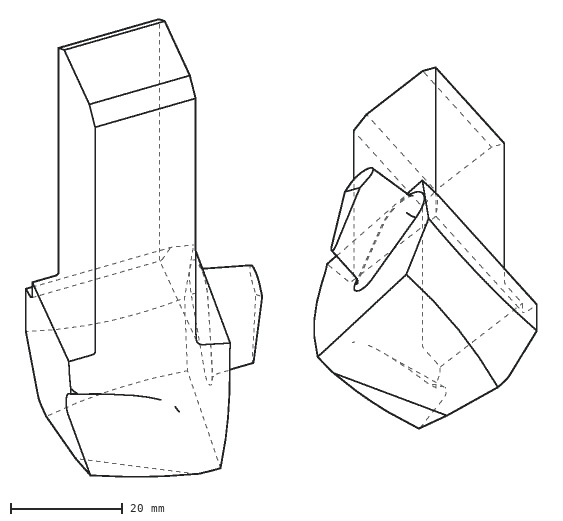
import cadquery as cq
import math

REACH = 83.1

SHANK_SIDE = 19.1
SHANK_HALF = SHANK_SIDE / 2
TOTAL_HEIGHT = 103.9
SHANK_CHAMFER = 3.0
SHANK_ROOT_Z = 20.8

HEAD_LEFT = -13.0
HEAD_RIGHT = 15.9
HEAD_FRONT = -14.5
LEDGE_Z = 35.0
LEDGE_FILLET = 0.6
SHOULDER_Z = 29.9
SHOULDER_ANGLE = 15.0
SHOULDER_FILLET = 1.7

FLANK_CONCAVE_MID = (10.2, 29.7)
FLANK_JOINT = (12.4, 23.5)
FLANK_CONVEX_MID = (15.0, 15.2)
FLANK_END_Z = 3.1
LAND_RADIUS = 70.7
LAND_CREST_Y = 12.5

BOTTOM_POINT = (HEAD_RIGHT, 8.1, 0.0)
BOTTOM_SLOPE_X = 0.057
BOTTOM_SLOPE_Y = 0.028

BEVEL_RADIUS = 109.1
BEVEL_ANGLE = 60.0
BEVEL_CREST_Y = 6.8
BEVEL_CREST_Z = 12.5

BACK_Y = 17.4
BACK_Z = 27.9
BACK_SLOPE_X = 0.07
BACK_SLOPE_Z = 0.12

FACET_EDGE_POINT = (0.0, HEAD_FRONT, 11.0)
FACET_ANGLE = 45.0
FACET_TILT = 13.4
FACET_FILLET = 8.3

FLUTE_TOP = (8.2, 20.7)
FLUTE_FOOT = (10.7, 3.4)
FLUTE_RADIUS = 6.7
FLUTE_RUN = (0.31, 1.0, -0.09)

RELIEF_POINTS = ((5.0, -12.2, 0.9), (11.5, -11.2, 3.0), BOTTOM_POINT)

PIN_END_Y = 26.7
PIN_FOOT_Y = 12.5
PIN_END_RADIUS = 2.9
PIN_END_CENTRE = (-6.4, 21.1)
PIN_TAPER = 0.094
PIN_CENTRE_DRIFT = 0.08
PIN_TIP = (3.1, 11.6)
PIN_TIP_RADIUS = 0.7
PIN_BEVEL_POINT = (-2.5, PIN_END_Y, 21.2)
PIN_BEVEL_NORMAL = (1.0, 3.9, -1.0)
PIN_FILLET = 1.9
PIN_HEEL_POINT = (-8.7, 16.5, 23.4)


def half_space(point, normal):
    """A large block with one face through the point, on the side the normal points to."""
    plane = cq.Plane(origin=point, normal=normal)
    return cq.Workplane(plane).rect(2 * REACH, 2 * REACH).extrude(2 * REACH)


def back_half_space():
    """Everything behind the sloping back face of the head."""
    return half_space((HEAD_LEFT, BACK_Y, BACK_Z), (BACK_SLOPE_X, 1.0, -BACK_SLOPE_Z))


def bottom_half_space():
    """Everything above the sloping bottom of the head."""
    return half_space(BOTTOM_POINT, (BOTTOM_SLOPE_X, BOTTOM_SLOPE_Y, 1.0))


def make_shank():
    """Square shank, reaching down into the head."""
    shank = cq.Workplane("XY").rect(SHANK_SIDE, SHANK_SIDE).extrude(TOTAL_HEIGHT)
    shank = shank.faces(">Z").edges("|Y").chamfer(SHANK_CHAMFER)
    return shank.intersect(half_space((0, 0, SHANK_ROOT_Z), (0, 0, 1)))


def make_shoulder_block():
    """Head block whose top slopes down to the left and to the back."""
    drop = math.tan(math.radians(SHOULDER_ANGLE))
    left_slope = (
        cq.Workplane("XZ", origin=(0, HEAD_FRONT, 0))
        .moveTo(HEAD_LEFT, 0)
        .lineTo(HEAD_LEFT, SHOULDER_Z - (-SHANK_HALF - HEAD_LEFT) * drop)
        .lineTo(-SHANK_HALF, SHOULDER_Z)
        .lineTo(HEAD_RIGHT, SHOULDER_Z)
        .lineTo(HEAD_RIGHT, 0)
        .close()
        .extrude(-REACH)
    )
    back_edge = SHANK_SIDE
    back_slope = (
        cq.Workplane("YZ", origin=(-REACH / 2, 0, 0))
        .moveTo(HEAD_FRONT, 0)
        .lineTo(HEAD_FRONT, SHOULDER_Z)
        .lineTo(SHANK_HALF, SHOULDER_Z)
        .lineTo(back_edge, SHOULDER_Z - (back_edge - SHANK_HALF) * drop)
        .lineTo(back_edge, 0)
        .close()
        .extrude(REACH)
    )
    return left_slope.intersect(back_slope)


def make_ledge_block():
    """Front part of the head, reaching up to the ledge in front of the shank."""
    corner = cq.Workplane("XY", origin=(-SHANK_HALF, HEAD_FRONT, 0))
    return corner.box(HEAD_RIGHT + SHANK_HALF, SHANK_HALF - HEAD_FRONT, LEDGE_Z, centered=False)


def make_head_outline():
    """Front outline of the head, drawn through its whole depth."""
    return (
        cq.Workplane("XZ", origin=(0, HEAD_FRONT, 0))
        .moveTo(HEAD_LEFT, 0)
        .lineTo(HEAD_LEFT, LEDGE_Z)
        .lineTo(SHANK_HALF, LEDGE_Z)
        .threePointArc(FLANK_CONCAVE_MID, FLANK_JOINT)
        .threePointArc(FLANK_CONVEX_MID, (HEAD_RIGHT, FLANK_END_Z))
        .lineTo(HEAD_RIGHT, 0)
        .close()
        .extrude(-REACH)
    )


def make_bevel_cylinder():
    """Large cylinder, lying along the lower left bevel, that encloses the rest of the holder."""
    angle = math.radians(BEVEL_ANGLE)
    along = cq.Vector(math.cos(angle), 0, -math.sin(angle))
    inward = cq.Vector(math.sin(angle), 0, math.cos(angle))
    crest = cq.Vector(HEAD_LEFT, BEVEL_CREST_Y, BEVEL_CREST_Z)
    start = crest + inward * BEVEL_RADIUS - along * 2 * REACH
    return cq.Workplane(cq.Solid.makeCylinder(BEVEL_RADIUS, 3 * REACH, start, along))


def make_land_cylinder():
    """Upright cylinder that rounds the right flank from front to back."""
    return (
        cq.Workplane("XY")
        .center(HEAD_RIGHT - LAND_RADIUS, LAND_CREST_Y)
        .circle(LAND_RADIUS)
        .extrude(REACH)
    )


def make_facet_cutter():
    """Everything in front of the facet, which leans back towards the lower right."""
    angle = math.radians(FACET_ANGLE)
    tilt = math.radians(FACET_TILT)
    normal = (math.sin(angle) * math.sin(tilt), -math.cos(tilt), -math.cos(angle) * math.sin(tilt))
    return half_space(FACET_EDGE_POINT, normal)


def make_flute_cutter():
    """A flat face that curls over to the right at its top, swept backwards."""
    lean = math.atan2(FLUTE_FOOT[0] - FLUTE_TOP[0], FLUTE_TOP[1] - FLUTE_FOOT[1])
    centre_x = FLUTE_TOP[0] + FLUTE_RADIUS * math.cos(lean)
    centre_z = FLUTE_TOP[1] + FLUTE_RADIUS * math.sin(lean)
    middle = 3 * math.pi / 4 + lean / 2
    arc_middle = (
        centre_x + FLUTE_RADIUS * math.cos(middle),
        centre_z + FLUTE_RADIUS * math.sin(middle),
    )
    foot = (2 * FLUTE_FOOT[0] - FLUTE_TOP[0], 2 * FLUTE_FOOT[1] - FLUTE_TOP[1])
    outline = (
        cq.Workplane("XZ", origin=(0, HEAD_FRONT, 0))
        .moveTo(*foot)
        .lineTo(*FLUTE_TOP)
        .threePointArc(arc_middle, (centre_x, centre_z + FLUTE_RADIUS))
        .lineTo(REACH, centre_z + FLUTE_RADIUS)
        .lineTo(REACH, foot[1])
        .close()
        .wire()
    )
    run = cq.Vector(*FLUTE_RUN)
    front_wire = outline.val().moved(cq.Location(run * -1))
    return cq.Workplane(cq.Solid.extrudeLinear(front_wire, [], run * REACH))


def make_relief_cutter():
    """Everything below the plane through the three relief points."""
    left, front, tip = (cq.Vector(*point) for point in RELIEF_POINTS)
    normal = (tip - left).cross(front - left)
    return half_space(left.toTuple(), normal.toTuple())


def fillet_shank_foot(holder):
    """Round the corners where the shank meets the shoulders and the front ledge."""
    left_foot = cq.selectors.NearestToPointSelector((-SHANK_HALF, 0, SHOULDER_Z))
    back_foot = cq.selectors.NearestToPointSelector((0, SHANK_HALF, SHOULDER_Z))
    front_foot = cq.selectors.NearestToPointSelector((0, -SHANK_HALF, LEDGE_Z))
    holder = holder.edges(left_foot + back_foot).fillet(SHOULDER_FILLET)
    return holder.edges(front_foot).fillet(LEDGE_FILLET)


def cut_facet(holder):
    """Cut the slanted facet and blend its upper edge into the front face."""
    facet_edge = cq.selectors.NearestToPointSelector(FACET_EDGE_POINT)
    return holder.cut(make_facet_cutter()).edges(facet_edge).fillet(FACET_FILLET)


def make_holder():
    head = make_shoulder_block().union(make_ledge_block()).intersect(make_head_outline())
    shank = make_shank()
    holder = fillet_shank_foot(head.union(shank))
    holder = holder.intersect(make_bevel_cylinder())
    holder = holder.cut(back_half_space())
    holder = holder.intersect(bottom_half_space())
    holder = cut_facet(holder)
    holder = holder.cut(make_flute_cutter())
    holder = holder.intersect(make_land_cylinder().union(shank))
    return holder.cut(make_relief_cutter())


def pin_section(y):
    """Drop-shaped outline at depth y: a large arc and a small tip arc joined by tangent sides."""
    depth = PIN_END_Y - y
    radius = PIN_END_RADIUS + PIN_TAPER * depth
    centre_x = PIN_END_CENTRE[0] - PIN_CENTRE_DRIFT * depth
    centre_z = PIN_END_CENTRE[1] + PIN_CENTRE_DRIFT * depth
    reach = math.hypot(PIN_TIP[0] - centre_x, PIN_TIP[1] - centre_z)
    axis = math.atan2(PIN_TIP[1] - centre_z, PIN_TIP[0] - centre_x)
    side = math.acos((radius - PIN_TIP_RADIUS) / reach)

    def on_body(angle):
        return (centre_x + radius * math.cos(angle), centre_z + radius * math.sin(angle))

    def on_tip(angle):
        return (
            PIN_TIP[0] + PIN_TIP_RADIUS * math.cos(angle),
            PIN_TIP[1] + PIN_TIP_RADIUS * math.sin(angle),
        )

    return (
        cq.Workplane("XZ", origin=(0, y, 0))
        .moveTo(*on_tip(axis + side))
        .lineTo(*on_body(axis + side))
        .threePointArc(on_body(axis + math.pi), on_body(axis - side))
        .lineTo(*on_tip(axis - side))
        .threePointArc(on_tip(axis), on_tip(axis + side))
        .close()
        .wire()
        .val()
    )


def make_pin_bar():
    """Tapered bar whose far end is bevelled towards its tip."""
    sections = [pin_section(y) for y in (PIN_FOOT_Y, PIN_END_Y)]
    bar = cq.Workplane(cq.Solid.makeLoft(sections, True))
    return bar.cut(half_space(PIN_BEVEL_POINT, PIN_BEVEL_NORMAL))


def make_pin():
    """The bar behind the sloping back face, with a fillet flaring its foot onto that face."""
    behind = back_half_space()
    backing = half_space((0, PIN_END_Y, 0), (0, -1, 0)).cut(behind)
    flared = backing.union(make_pin_bar())
    foot_edge = cq.selectors.NearestToPointSelector(PIN_HEEL_POINT)
    flared = flared.edges(foot_edge).fillet(PIN_FILLET)
    return flared.intersect(behind)


holder = make_holder()
pin = make_pin()

result = cq.Compound.makeCompound([holder.solids().val(), pin.solids().val()])